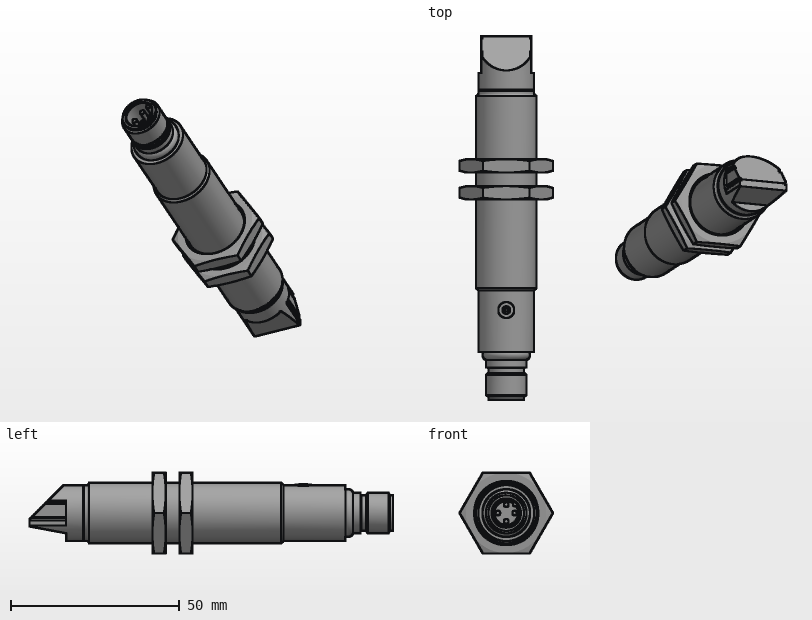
import cadquery as cq
import math

total_length = 107.6

thread_dia = 12.0
thread_relief_dia = 10.5
thread_start = 1.4
thread_lead_length = 0.4
groove_chamfer_start = 7.4
groove_chamfer_end = 8.0
groove_end = 9.6
groove_root_chamfer = 0.2
collar_dia = 14.2
collar_root_dia = 13.9
collar_round_radius = 1.6
collar_round_end = 13.3

sleeve_dia = 16.6
sleeve_start = 14.1
barrel_dia = 18.0
barrel_start = 32.4
barrel_end = 90.0
barrel_chamfer = (barrel_dia - sleeve_dia) / 2
neck_dia = 16.4
neck_start = 91.5
neck_end = 91.8

flat_width = 14.8
flat_start = 96.7
wedge_top_start = 97.5
underside_tip_depth = 4.0
underside_drop = 2.0
flat_groove_depth = 0.4
flat_groove_floor_width = 0.6
flat_groove_slope = 0.3
flat_groove_bottoms = (2.7, -2.2)

socket_dia = 8.3
socket_depth = 7.5
socket_floor_dia = 7.1
socket_floor_step = 0.5
socket_mouth_chamfer = 0.2
pin_dia = 1.4
pin_tip_dia = 1.0
pin_cone_length = 0.2
pin_dome_height = 0.2
pin_count = 4
pin_offset = 2.5
pin_length = 6.0
key_dia = 1.4
key_offset = 3.8
key_start = 0.8
key_angle = math.radians(45)

lamp_place = 26.6
lamp_rim_dia = 4.7
lamp_lens_dia = 2.3
lamp_dimple_dia = 1.0
lamp_rim_rise = 0.1
lamp_rim_depth = 1.1
lamp_lens_rise = 0.2

nut_across_flats = 24.0
nut_thickness = 4.0
nut_face_dia = 23.8
nut_corner_drop = 0.5
nut_bore_chamfer = 0.5
nut_places = (59.3, 67.2)


def turned_body():
    """Connector, sleeve, barrel and head as one shape turned about the Y axis."""
    thread_r = thread_dia / 2
    relief_r = thread_relief_dia / 2
    collar_r = collar_dia / 2
    sleeve_r = sleeve_dia / 2
    barrel_r = barrel_dia / 2
    neck_r = neck_dia / 2
    collar_drop = collar_r - thread_r
    round_length = math.sqrt(collar_round_radius**2 - (collar_round_radius - collar_drop) ** 2)
    outline = (
        cq.Workplane("XY")
        .moveTo(0, 0)
        .lineTo(relief_r, 0)
        .lineTo(relief_r, thread_start - thread_lead_length)
        .lineTo(thread_r, thread_start)
        .lineTo(thread_r, groove_chamfer_start)
        .lineTo(relief_r, groove_chamfer_end)
        .lineTo(relief_r, groove_end - groove_root_chamfer)
        .lineTo(relief_r + groove_root_chamfer, groove_end)
        .lineTo(thread_r, groove_end)
        .lineTo(thread_r, collar_round_end - round_length)
        .radiusArc((collar_r, collar_round_end), -collar_round_radius)
        .lineTo(collar_root_dia / 2, sleeve_start)
        .lineTo(sleeve_r, sleeve_start)
        .lineTo(sleeve_r, barrel_start)
        .lineTo(barrel_r, barrel_start + barrel_chamfer)
        .lineTo(barrel_r, barrel_end)
        .radiusArc((sleeve_r, barrel_end + barrel_chamfer), barrel_chamfer)
        .lineTo(sleeve_r, neck_start)
        .lineTo(neck_r, neck_start)
        .lineTo(neck_r, neck_end)
        .lineTo(sleeve_r, neck_end)
        .lineTo(sleeve_r, total_length)
        .lineTo(0, total_length)
        .close()
    )
    return outline.revolve(360, (0, 0, 0), (0, 1, 0))


def cut_wedge(body):
    """Cut the head to a wedge with two flat sides, each with two lengthwise grooves."""
    head_r = sleeve_dia / 2
    flat_x = flat_width / 2
    tip_top = head_r - (total_length - wedge_top_start)
    profile = (
        cq.Workplane("YZ")
        .moveTo(flat_start, -underside_tip_depth - underside_drop)
        .lineTo(total_length, -underside_tip_depth)
        .lineTo(total_length, tip_top)
        .lineTo(wedge_top_start, head_r)
        .lineTo(flat_start, head_r)
        .close()
        .extrude(flat_x, both=True)
    )
    head = (
        cq.Workplane("XZ", origin=(0, flat_start, 0))
        .rect(sleeve_dia, sleeve_dia)
        .extrude(flat_start - total_length)
    )
    body = body.cut(head.cut(profile))
    for side in (-1, 1):
        for bottom in flat_groove_bottoms:
            floor_top = bottom + flat_groove_floor_width
            groove = (
                cq.Workplane("XZ", origin=(0, flat_start, 0))
                .polyline([
                    (side * flat_x, bottom),
                    (side * (flat_x - flat_groove_depth), bottom),
                    (side * (flat_x - flat_groove_depth), floor_top),
                    (side * flat_x, floor_top + flat_groove_slope),
                ])
                .close()
                .extrude(flat_start - total_length)
            )
            body = body.cut(groove)
    return body


def cut_socket(body):
    """Bore the open end of the connector, with a narrower step at its floor."""
    floor = socket_depth + socket_floor_step
    bore_r = socket_dia / 2
    floor_r = socket_floor_dia / 2
    socket = (
        cq.Workplane("XY")
        .polyline([
            (0, 0),
            (bore_r + socket_mouth_chamfer, 0),
            (bore_r, socket_mouth_chamfer),
            (bore_r, socket_depth),
            (floor_r, socket_depth),
            (floor_r, floor),
            (0, floor),
        ])
        .close()
        .revolve(360, (0, 0, 0), (0, 1, 0))
    )
    return body.cut(socket)


def add_pins(body):
    """Contact pins that stand on the socket floor and have domed tips."""
    pin_end = socket_depth + socket_floor_step
    pin_start = pin_end - pin_length
    cone_start = pin_start + pin_dome_height
    tip_r = pin_tip_dia / 2
    dome_radius = (tip_r**2 + pin_dome_height**2) / (2 * pin_dome_height)
    pin = (
        cq.Workplane("XY")
        .moveTo(0, pin_start)
        .radiusArc((tip_r, cone_start), -dome_radius)
        .lineTo(pin_dia / 2, cone_start + pin_cone_length)
        .lineTo(pin_dia / 2, pin_end)
        .lineTo(0, pin_end)
        .close()
        .revolve(360, (0, 0, 0), (0, 1, 0))
    )
    for i in range(pin_count):
        angle = 2 * math.pi / pin_count * i
        place = (pin_offset * math.cos(angle), 0, pin_offset * math.sin(angle))
        body = body.union(pin.translate(place))
    return body


def add_key(body):
    """Rounded coding rib along the socket wall, partly sunk into it."""
    place = (key_offset * math.cos(key_angle), key_start, key_offset * math.sin(key_angle))
    key_length = socket_depth + socket_floor_step - key_start
    key = cq.Workplane("XZ", origin=place).circle(key_dia / 2).extrude(-key_length)
    return body.union(key)


def add_lamp(body):
    """Flat round rim on the sleeve with a raised lens and a dimple in the lens."""
    rim_top = sleeve_dia / 2 + lamp_rim_rise
    lens_top = rim_top + lamp_lens_rise
    base = cq.Workplane("XY", origin=(0, lamp_place, rim_top))
    rim = base.circle(lamp_rim_dia / 2).extrude(-lamp_rim_depth)
    lens = base.circle(lamp_lens_dia / 2).extrude(lamp_lens_rise)
    dimple = cq.Workplane("XY").sphere(lamp_dimple_dia / 2).translate((0, lamp_place, lens_top))
    return body.union(rim).union(lens).cut(dimple)


def make_nut(start):
    """Hexagon nut that fits the barrel, chamfered at its corners and at both ends of its bore."""
    face_r = nut_face_dia / 2
    corner_r = nut_across_flats / math.sqrt(3)
    bore_r = barrel_dia / 2
    wide_bore_r = bore_r + nut_bore_chamfer
    blank = cq.Workplane("XZ").polygon(6, 2 * corner_r).extrude(-nut_thickness)
    turned = (
        cq.Workplane("XY")
        .polyline([
            (wide_bore_r, 0),
            (face_r, 0),
            (corner_r, nut_corner_drop),
            (corner_r, nut_thickness - nut_corner_drop),
            (face_r, nut_thickness),
            (wide_bore_r, nut_thickness),
            (bore_r, nut_thickness - nut_bore_chamfer),
            (bore_r, nut_bore_chamfer),
        ])
        .close()
        .revolve(360, (0, 0, 0), (0, 1, 0))
    )
    return blank.intersect(turned).translate((0, start, 0))


sensor = turned_body()
sensor = cut_wedge(sensor)
sensor = cut_socket(sensor)
sensor = add_pins(sensor)
sensor = add_key(sensor)
sensor = add_lamp(sensor)

nuts = [make_nut(start) for start in nut_places]

result = cq.Compound.makeCompound([sensor.val(), *[nut.val() for nut in nuts]])